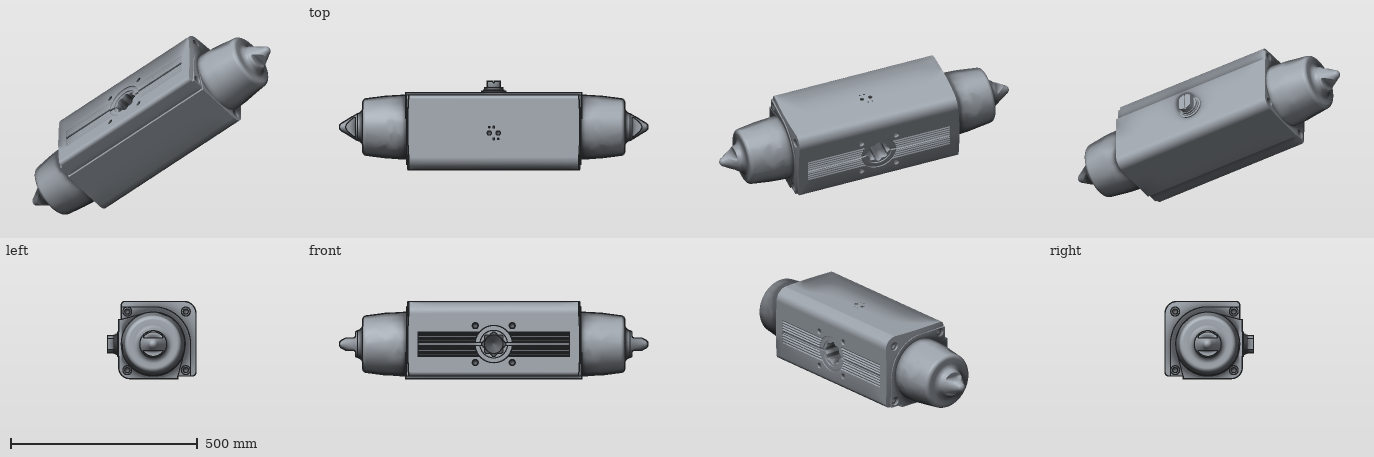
import cadquery as cq
import math


total_length = 828.0
main_far = 114.8
main_near = 86.0
duct_near = 92.9
duct_reach = 66.0
large_corner = 33.0
small_corner = 11.0
duct_corner = 30.0

body_half = 203.0
cap_half = 232.3
cap_slope_start = 98.0
cap_slope_end = 160.0
cap_slope_drop = 7.0
pad_height = 2.0
round_pad_radius = 100.0

bolt_far = 87.3
bolt_near = 69.7
bolt_head_diameter = 24.0
bolt_head_depth = 8.0
bolt_socket_diameter = 13.84
bolt_socket_depth = 8.0

housing_radius = 86.0
housing_shoulder_radius = 76.0
housing_face_outer = 64.5
housing_face_inner = 52.0
shoulder_x = 342.0
housing_face_x = 351.5
shoulder_slope = -0.15
neck_hollow = 0.3
nose_base_radius = 36.2
nose_half_angle = 31.4
nose_tip_radius = 12.3
nose_tip_height = 9.3
nose_flat_half = 17.0
nose_flat_start = 371.0
nose_flat_fillet = 5.0

mount_recess_diameter = 100.0
mount_recess_depth = 3.0
mount_hole_half_pitch = 49.5
thread_bore_diameter = 13.84
thread_mouth_diameter = 16.5
thread_bore_depth = 25.0
drill_half_angle = 59.0

pinion_bore_diameter = 74.0
pinion_bore_depth = 3.0
star_width = 50.0
star_tip_diameter = 65.4
star_depth = 60.0
pinion_drill_diameter = 50.0

slot_width = 8.0
slot_depth = 8.0
groove_width = 6.0
groove_depth = 2.5
groove_pitch = 7.5
groove_pairs = 4

pinion_top_y = 122.9
washer_diameter = 65.4
washer_height = 3.5
collar_diameter = 55.0
collar_top = 7.0
pinion_seat_diameter = 50.0
pinion_seat_top = 12.5
pinion_shaft_diameter = 47.0
pinion_flats = 36.0
pinion_slot_width = 4.0
pinion_slot_depth = 4.0

port_y = -16.0
port_half_pitch = 12.0
port_diameter = 11.45
port_depth = 20.0
fixing_half_pitch = 16.0
fixing_diameter = 4.13
pin_diameter = 4.92
fixing_depth = 10.0


def block(x_range, y_range, z_range):
    """Box spanning the given ranges."""
    size = [high - low for low, high in (x_range, y_range, z_range)]
    corner = (x_range[0], y_range[0], z_range[0])
    return cq.Workplane("XY").box(*size, centered=False).translate(corner)


def disc(diameter, y_start, y_end):
    """Cylinder along Y, on the pinion axis."""
    height = y_end - y_start
    return cq.Workplane("XZ", origin=(0, y_end, 0)).circle(diameter / 2).extrude(height)


def drilled_hole(point, direction, diameter, depth):
    """Cutter for a blind hole with a drill-point bottom."""
    start = cq.Vector(*point)
    axis = cq.Vector(*direction)
    radius = diameter / 2
    tip_length = radius / math.tan(math.radians(drill_half_angle))
    bore = cq.Solid.makeCylinder(radius, depth, start, axis)
    tip = cq.Solid.makeCone(radius, 0, tip_length, start + axis * depth, axis)
    return cq.Workplane(bore).union(cq.Workplane(tip))


def both_ends(shape):
    """The shape together with its mirror image at the other end."""
    return shape.union(shape.mirror("YZ"))


def make_body():
    x_range = (-cap_half, cap_half)
    main = block(x_range, (-main_far, main_near), (-main_near, main_far))
    main = main.edges("|X and <Y and >Z").fillet(large_corner)
    main = main.edges("|X and (>Y or <Z)").fillet(small_corner)
    duct = block(x_range, (-duct_reach, duct_near), (-duct_near, duct_reach))
    duct = duct.edges("|X and >Y and <Z").fillet(duct_corner)
    return main.union(duct).intersect(make_cap_slope_envelope())


def make_cap_slope_envelope():
    """Revolved envelope whose ends slope back towards the body corners."""
    outline = [
        (0, 0),
        (cap_half, 0),
        (cap_half, cap_slope_start),
        (cap_half - cap_slope_drop, cap_slope_end),
        (0, cap_slope_end),
    ]
    profile = cq.Workplane("XY").polyline(outline).close()
    envelope = profile.revolve(360, (0, 0, 0), (1, 0, 0))
    return both_ends(envelope)


def make_round_pads():
    """First step on each cap face: square outline with one large round corner."""
    x_range = (-cap_half - pad_height, cap_half + pad_height)
    pad = block(x_range, (-round_pad_radius, main_near), (-main_near, round_pad_radius))
    pad = pad.edges("|X and <Y and >Z").fillet(round_pad_radius)
    return pad.edges("|X and >Y and <Z").fillet(small_corner)


def make_duct_pads():
    """Second step: covers the duct corner, its edges tangent to the spring housing."""
    corner_distance = math.hypot(main_near, duct_reach)
    angle = math.atan2(duct_reach, main_near) + math.acos(housing_radius / corner_distance)
    touch_y = housing_radius * math.cos(angle)
    touch_z = housing_radius * math.sin(angle)
    half = cap_half + 2 * pad_height
    outline = [
        (duct_near, -duct_near),
        (duct_near, duct_reach),
        (main_near, duct_reach),
        (touch_y, touch_z),
        (0, 0),
        (-touch_z, -touch_y),
        (-duct_reach, -main_near),
        (-duct_reach, -duct_near),
    ]
    pad = cq.Workplane("YZ", origin=(-half, 0, 0)).polyline(outline).close().extrude(2 * half)
    return pad.edges("|X and >Y and <Z").fillet(duct_corner)


def make_cap_bolt_holes():
    """Counterbored bolt seats at the cap corners, one end."""
    holes = cq.Workplane()
    inward = (1, 0, 0)
    outer_x = -cap_half - 2 * pad_height
    seat_x = -cap_half + bolt_head_depth
    for y in (-bolt_far, bolt_near):
        for z in (-bolt_near, bolt_far):
            head = cq.Solid.makeCylinder(
                bolt_head_diameter / 2, seat_x - outer_x, cq.Vector(outer_x, y, z), cq.Vector(*inward)
            )
            socket = drilled_hole((seat_x, y, z), inward, bolt_socket_diameter, bolt_socket_depth)
            holes = holes.add(cq.Workplane(head).union(socket))
    return holes.combine()


def make_spring_housing():
    """Housing at the +X end, revolved about X, with a flattened nose."""
    tip_x = total_length / 2
    tip_base_x = tip_x - nose_tip_height
    nose_rise = (nose_base_radius - nose_tip_radius) / math.tan(math.radians(nose_half_angle))
    nose_base_x = tip_base_x - nose_rise
    sphere_radius = (nose_tip_radius**2 + nose_tip_height**2) / (2 * nose_tip_height)
    half_tip_angle = math.asin(nose_tip_radius / sphere_radius) / 2
    tip_mid = (
        tip_x - sphere_radius * (1 - math.cos(half_tip_angle)),
        sphere_radius * math.sin(half_tip_angle),
    )
    neck_mid = (
        housing_face_x + neck_hollow * (nose_base_x - housing_face_x),
        nose_base_radius + neck_hollow * (housing_face_inner - nose_base_radius),
    )
    wall_tangents = [(1, 0), (1, shoulder_slope)]
    profile = (
        cq.Workplane("XY")
        .moveTo(0, 0)
        .lineTo(0, housing_radius)
        .lineTo(cap_half, housing_radius)
        .spline([(shoulder_x, housing_shoulder_radius)], tangents=wall_tangents, includeCurrent=True)
        .tangentArcPoint((housing_face_x, housing_face_outer), relative=False)
        .lineTo(housing_face_x, housing_face_inner)
        .threePointArc(neck_mid, (nose_base_x, nose_base_radius))
        .lineTo(tip_base_x, nose_tip_radius)
        .threePointArc(tip_mid, (tip_x, 0))
        .close()
    )
    housing = profile.revolve(360, (0, 0, 0), (1, 0, 0))
    for side in (-1, 1):
        relief = block(
            (nose_flat_start, tip_x),
            (-nose_base_radius, nose_base_radius),
            (nose_flat_half, 2 * nose_base_radius),
        )
        relief = relief.edges("<X and <Z").fillet(nose_flat_fillet)
        if side < 0:
            relief = relief.mirror("XY")
        housing = housing.cut(relief)
    return housing


def make_mount_recess():
    recess_floor = -main_far + mount_recess_depth
    recess = disc(mount_recess_diameter, -main_far, recess_floor)
    return recess.union(disc(pinion_bore_diameter, recess_floor, recess_floor + pinion_bore_depth))


def make_star_bore():
    """Double-square drive bore with trimmed tips and a drill-point bottom."""
    start = -main_far + mount_recess_depth + pinion_bore_depth
    end = start + star_depth
    square = cq.Workplane("XZ", origin=(0, end, 0)).rect(star_width, star_width).extrude(star_depth)
    star = square.union(square.rotate((0, 0, 0), (0, 1, 0), 45))
    star = star.intersect(disc(star_tip_diameter, start, end))
    return star.union(drilled_hole((0, start, 0), (0, 1, 0), pinion_drill_diameter, star_depth))


def make_mount_holes():
    holes = cq.Workplane()
    chamfer = (thread_mouth_diameter - thread_bore_diameter) / 2
    inward = (0, 1, 0)
    for x in (-mount_hole_half_pitch, mount_hole_half_pitch):
        for z in (-mount_hole_half_pitch, mount_hole_half_pitch):
            start = (x, -main_far, z)
            hole = drilled_hole(start, inward, thread_bore_diameter, thread_bore_depth)
            mouth = cq.Solid.makeCone(
                thread_mouth_diameter / 2,
                thread_bore_diameter / 2,
                chamfer,
                cq.Vector(*start),
                cq.Vector(*inward),
            )
            holes = holes.add(hole.union(cq.Workplane(mouth)))
    return holes.combine()


def make_grooves():
    """V grooves along the body, and a deeper square slot on the centre line."""
    grooves = block(
        (-body_half, body_half), (-main_far, -main_far + slot_depth), (-slot_width / 2, slot_width / 2)
    )
    for index in range(1, groove_pairs + 1):
        for z in (-index * groove_pitch, index * groove_pitch):
            section = [
                (-main_far, z - groove_width / 2),
                (-main_far + groove_depth, z),
                (-main_far, z + groove_width / 2),
            ]
            start = cq.Workplane("YZ", origin=(-body_half, 0, 0))
            grooves = grooves.union(start.polyline(section).close().extrude(2 * body_half))
    return grooves


def make_pinion_top():
    shaft = disc(pinion_shaft_diameter, duct_near, pinion_top_y)
    half_flats = pinion_flats / 2
    half_round = pinion_shaft_diameter / 2
    shaft = shaft.intersect(
        block((-half_flats, half_flats), (0, pinion_top_y), (-half_round, half_round))
    )
    shaft = shaft.cut(
        block(
            (-pinion_slot_width / 2, pinion_slot_width / 2),
            (pinion_top_y - pinion_slot_depth, pinion_top_y),
            (-half_round, half_round),
        )
    )
    rings = (
        (washer_diameter, washer_height),
        (collar_diameter, collar_top),
        (pinion_seat_diameter, pinion_seat_top),
    )
    for diameter, top in rings:
        shaft = shaft.union(disc(diameter, 0, duct_near + top))
    return shaft


def make_port_holes():
    upper_y = port_y + fixing_half_pitch
    lower_y = port_y - fixing_half_pitch
    pattern = (
        (-port_half_pitch, port_y, port_diameter, port_depth),
        (port_half_pitch, port_y, port_diameter, port_depth),
        (-port_half_pitch, upper_y, fixing_diameter, fixing_depth),
        (port_half_pitch, lower_y, fixing_diameter, fixing_depth),
        (0, upper_y, pin_diameter, fixing_depth),
        (0, lower_y, pin_diameter, fixing_depth),
    )
    holes = cq.Workplane()
    for x, y, diameter, depth in pattern:
        holes = holes.add(drilled_hole((x, y, main_far), (0, 0, -1), diameter, depth))
    return holes.combine()


result = make_body().union(make_round_pads()).union(make_duct_pads())
result = result.cut(both_ends(make_cap_bolt_holes()))
result = result.union(both_ends(make_spring_housing()))
result = result.union(make_pinion_top())
result = result.cut(make_grooves())
result = result.cut(make_mount_recess())
result = result.cut(make_star_bore())
result = result.cut(make_mount_holes())
result = result.cut(make_port_holes())